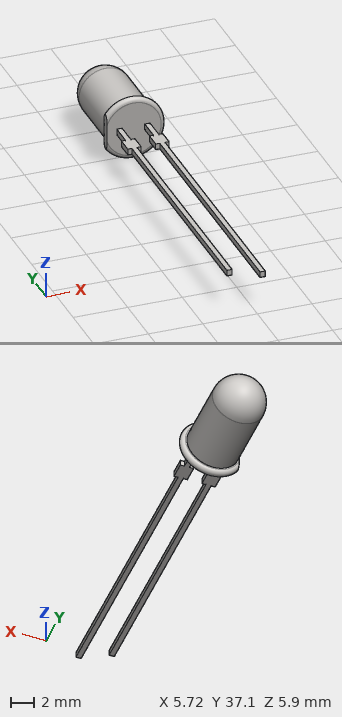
import cadquery as cq

lens_length = 9.2
lens_radius = 2.4
flange_radius = 2.95
flange_thickness = 0.78
flange_edge_radius = flange_thickness / 2
flat_offset = lens_radius

total_length = 37.12
lead_pitch = 2.55
lead_width = 0.5
lead_thickness = 0.55
stop_width = 1.22
stop_length = 1.52
stop_gap = 2.1
long_lead_length = total_length - lens_length
short_lead_length = long_lead_length - 1.25


def make_lens():
    """Revolve the lens and flange about Y, then cut the polarity flat."""
    dome_start = lens_length - lens_radius
    dome_mid = lens_radius * 0.5 ** 0.5
    face_radius = flange_radius - flange_edge_radius
    body = (
        cq.Workplane("XY")
        .lineTo(face_radius, 0)
        .threePointArc((flange_radius, flange_edge_radius), (face_radius, flange_thickness))
        .lineTo(lens_radius, flange_thickness)
        .lineTo(lens_radius, dome_start)
        .threePointArc((dome_mid, dome_start + dome_mid), (0, lens_length))
        .close()
        .revolve(360, (0, 0), (0, 1))
    )
    flat_cutter = cq.Workplane("XY").box(
        flange_radius - flat_offset, flange_thickness, 2 * flange_radius, centered=(False, False, True)
    ).translate((-flange_radius, 0, 0))
    return body.cut(flat_cutter)


def make_lead(x_center, length):
    """Make a lead running from the flange toward -Y, with its stop."""
    strip = cq.Workplane("XY").box(lead_width, length, lead_thickness).translate((x_center, -length / 2, 0))
    stop_center = -stop_gap - stop_length / 2
    stop = cq.Workplane("XY").box(stop_width, stop_length, lead_thickness).translate((x_center, stop_center, 0))
    return strip.union(stop)


lens = make_lens()

leads = []
for side, length in ((-1, short_lead_length), (1, long_lead_length)):
    leads.append(make_lead(side * lead_pitch / 2, length))

result = cq.Compound.makeCompound([lens.val(), *[lead.val() for lead in leads]])